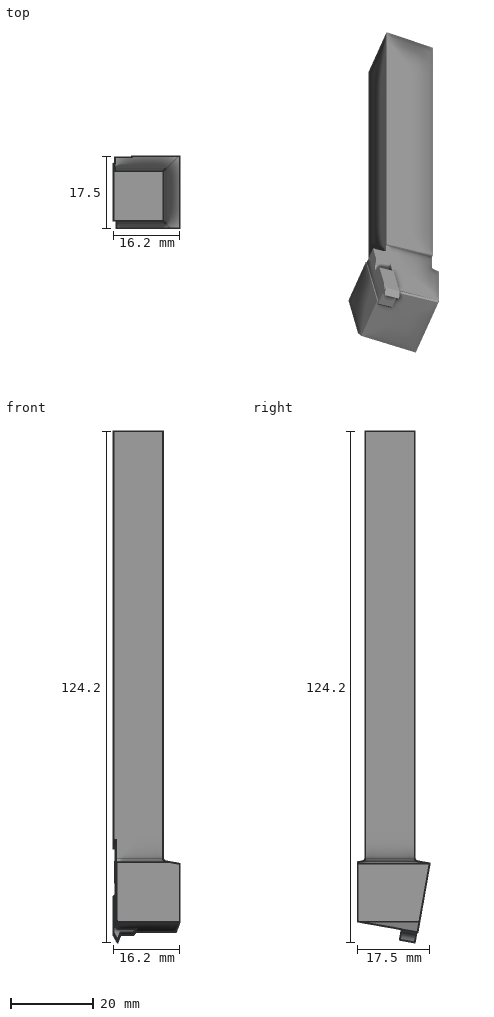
import cadquery as cq
import math

length = 124.2
shank_side = 12.0
tilt = 10.0
slope = math.tan(math.radians(tilt))

head_width = 16.2
head_front = -1.9
head_front_bottom = 5.1
shoulder_height = 19.9
shoulder_fillet = 0.7
side_chamfer_width = 1.0
side_chamfer_height = 2.6
left_chamfer_width = 0.2
left_chamfer_height = 0.5

relief_front_depth = 0.7
relief_back_depth = 0.31
relief_top_front = 25.0

tip_y = 12.0
tip_x = 1.0
tip_height = 1.9
tip_right_x = 1.7
insert_thickness = 3.7
insert_width = 6.1
insert_edge_right_x = 4.8
insert_corner_height = 3.4
insert_side_top = 10.7
corner_relief_width = 0.6
corner_relief_height = 1.9
corner_relief_depth = 0.9

notch_depth = 2.2
notch_bottom = 12.8
notch_knee_x = 1.5
notch_knee_height = 13.8
notch_top = 15.0
rake_recess_depth = 0.2
rake_recess_width = 4.5

clearance = 6.2
head_back = tip_y + rake_recess_depth / math.cos(math.radians(tilt))


def back_y(z):
    """Y of the inclined back face of the head at height z."""
    return head_back + slope * z


def rake_plane():
    """Plane on the rake face, local Y up along the face, normal into the head."""
    angle = math.radians(tilt)
    return cq.Plane((0, tip_y, 0), (1, 0, 0), (0, -math.cos(angle), math.sin(angle)))


def round_roots(prism, roots):
    """Round the inner edges of a prism where the shoulders meet the shank."""
    for root in roots:
        prism = prism.edges(cq.selectors.NearestToPointSelector(root)).fillet(shoulder_fillet)
    return prism


def make_shank_and_head():
    """Intersection of a side profile and a front profile, so the sloped shoulders meet in mitres."""
    bottom_at_zero_y = head_front_bottom + slope * head_front
    bottom_y = (head_back + slope * bottom_at_zero_y) / (1 + slope**2)
    bottom_z = bottom_at_zero_y - slope * bottom_y
    corner_z = (shoulder_height + slope * (shank_side - head_back)) / (1 + slope**2)
    side_prism = (
        cq.Workplane("YZ")
        .polyline([
            (0, length),
            (0, shoulder_height),
            (head_front, shoulder_height + slope * head_front),
            (head_front, head_front_bottom),
            (bottom_y, bottom_z),
            (back_y(corner_z), corner_z),
            (shank_side, shoulder_height),
            (shank_side, length),
        ])
        .close()
        .extrude(head_width)
    )
    side_roots = [(head_width / 2, y, shoulder_height) for y in (0, shank_side)]
    side_prism = round_roots(side_prism, side_roots)

    depth = back_y(shoulder_height) - head_front
    front_prism = (
        cq.Workplane("XZ", origin=(0, head_front, 0))
        .polyline([
            (0, 0),
            (0, length),
            (shank_side, length),
            (shank_side, shoulder_height),
            (head_width, shoulder_height - slope * (head_width - shank_side)),
            (head_width, head_front_bottom),
            (head_width - side_chamfer_width, head_front_bottom - side_chamfer_height),
            (head_width - side_chamfer_width, 0),
        ])
        .close()
        .extrude(-depth)
    )
    front_roots = [(shank_side, head_front + depth / 2, shoulder_height)]
    return side_prism.intersect(round_roots(front_prism, front_roots))


def make_left_relief():
    front = head_front - clearance
    back = head_back + clearance
    depth_slope = (relief_front_depth - relief_back_depth) / (back_y(shoulder_height) - head_front)
    front_depth = relief_front_depth + depth_slope * clearance
    back_depth = front_depth - depth_slope * (back - front)
    wedge = (
        cq.Workplane("XY", origin=(0, 0, -clearance))
        .polyline([(-clearance, front), (front_depth, front), (back_depth, back), (-clearance, back)])
        .close()
        .extrude(relief_top_front + 2 * clearance)
    )
    below_top = (
        cq.Workplane("YZ", origin=(-clearance, 0, 0))
        .polyline([
            (front, -clearance),
            (front, relief_top_front - slope * front),
            (back, relief_top_front - slope * back),
            (back, -clearance),
        ])
        .close()
        .extrude(2 * clearance)
    )
    return wedge.intersect(below_top)


def make_left_chamfer():
    """Wedge that follows the inclined underside along the left of the head."""
    plane = cq.Plane(
        (relief_front_depth, head_front, head_front_bottom), (1, 0, 0), (0, -1, slope)
    )
    return (
        cq.Workplane(plane)
        .polyline([
            (-relief_front_depth, left_chamfer_height),
            (0, left_chamfer_height),
            (left_chamfer_width, 0),
            (-relief_front_depth, 0),
        ])
        .close()
        .extrude(clearance, both=True)
        .translate((0, clearance, -clearance * slope))
    )


def make_notch():
    return (
        cq.Workplane(rake_plane())
        .polyline([
            (0, insert_side_top),
            (notch_depth, notch_bottom),
            (notch_knee_x, notch_knee_height),
            (0, notch_top),
            (-clearance, notch_top),
            (-clearance, insert_side_top),
        ])
        .close()
        .extrude(insert_thickness)
    )


def make_rake_recess():
    return (
        cq.Workplane(rake_plane())
        .rect(rake_recess_width, 2 * shoulder_height, centered=False)
        .extrude(-clearance)
    )


def make_corner_relief():
    """Four-sided wedge that bevels the lower left corner of the insert's rake face."""
    plane = rake_plane()
    corners = [
        plane.toWorldCoords(point)
        for point in [
            (0, tip_height, 0),
            (corner_relief_width, tip_height, 0),
            (0, tip_height + corner_relief_height, 0),
            (0, tip_height, corner_relief_depth),
        ]
    ]
    faces = []
    for skipped in corners:
        outline = [corner for corner in corners if corner is not skipped]
        faces.append(cq.Face.makeFromWires(cq.Wire.makePolygon(outline, close=True)))
    return cq.Workplane(cq.Solid.makeSolid(cq.Shell.makeShell(faces)))


def make_insert():
    blank = (
        cq.Workplane(rake_plane())
        .polyline([
            (0, insert_side_top),
            (0, tip_height),
            (tip_x, 0),
            (tip_right_x, tip_height),
            (insert_edge_right_x, tip_height),
            (insert_width, insert_corner_height),
            (insert_width, notch_bottom),
            (notch_depth, notch_bottom),
        ])
        .close()
        .extrude(insert_thickness)
    )
    return blank.cut(make_corner_relief())


def make_insert_pocket():
    """Seat for the insert, open to the left, below and at the rake face."""
    return (
        cq.Workplane(rake_plane())
        .polyline([
            (-clearance, -clearance),
            (-clearance, insert_side_top),
            (0, insert_side_top),
            (notch_depth, notch_bottom),
            (insert_width, notch_bottom),
            (insert_width, insert_corner_height),
            (insert_edge_right_x, tip_height),
            (insert_edge_right_x, -clearance),
        ])
        .close()
        .extrude(insert_thickness)
    )


holder = make_shank_and_head()
for cutter in [
    make_left_relief(),
    make_left_chamfer(),
    make_insert_pocket(),
    make_notch(),
    make_rake_recess(),
]:
    holder = holder.cut(cutter)

insert = make_insert()

result = cq.Compound.makeCompound([holder.solids().val(), insert.solids().val()])